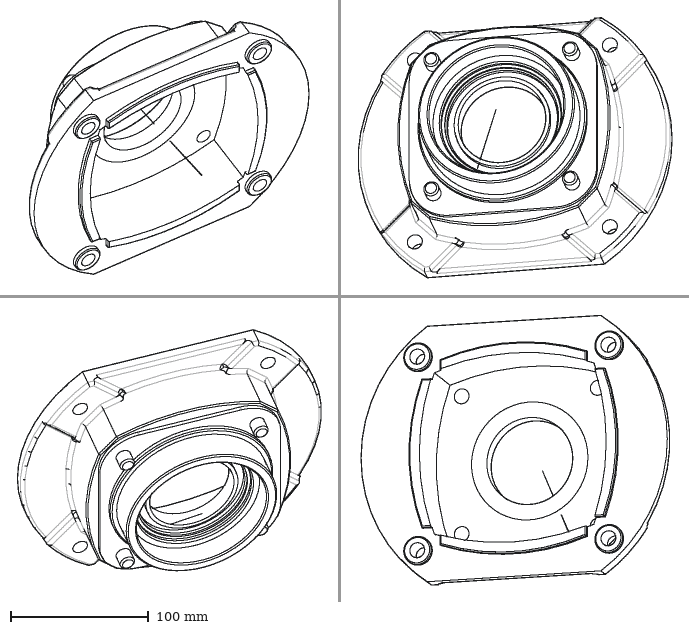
import cadquery as cq
import math

seal_face_x = 16.8
collar_x = 22.5
lip_x = 22.5
plate_x = 26.5
housing_x = 29.5
cavity_x = 34.5
pad_x = 62.5
web_x = 67.5
flange_back_x = 76.5
foot_end_x = 80.3

tube_radius = 57.7
tube_bore_radius = 49.8
tube_chamfer = 1.2
lip_radius = 35.3
bore_radius = 32.3
collar_radius = 62.3
collar_chamfer = 1.2
plate_width = 138.4
plate_corner_radius = 30.0
spigot_radius = 43.8

seal_mouth_radius = 45.2
seal_entry_radius = 44.3
seal_neck_radius = 42.0
seal_bore_radius = 40.8
seal_entry_x = 18.7
seal_shoulder_x = 20.8
seal_neck_x = 22.1
seal_bore_x = 23.3

stud_offset = 51.2
stud_radius = 5.5
stud_tip_x = 16.1
stud_chamfer = 1.4

bow_height = 78.5
corner_near = 55.1
corner_far = 68.7
housing_chamfer = 1.2
cavity_bow_height = 70.3
cavity_corner = 60.0

flange_radius = 115.3
flange_height = 190.0
strip_width = 49.0
skirt_fillet = 3.0
flange_fillet = (web_x - pad_x) / 2
flange_hole_offset = 72.0
flange_hole_radius = 5.5
boss_radius = 10.4
foot_width = 2 * corner_near
foot_chamfer = 1.0


def plane_at(x):
    """YZ plane at station x; local axes are Y and Z, the normal is +X."""
    return cq.Workplane("YZ", origin=(x, 0, 0))


def cylinder(radius, x_start, x_end):
    return plane_at(x_start).circle(radius).extrude(x_end - x_start)


def turn(profile):
    """Solid of revolution about the X axis from (x, radius) points."""
    return cq.Workplane("XY").polyline(profile).close().revolve(360, (0, 0, 0), (1, 0, 0))


def square_points(offset):
    return [(y, z) for y in (-offset, offset) for z in (-offset, offset)]


def bowed_outline(x, near, far, bow):
    """Square outline with bowed sides; flat corners appear where near differs from far."""
    outline = plane_at(x).moveTo(-near, far)
    for quarter in range(4):
        angle = -math.pi / 2 * quarter
        turned = [
            (y * math.cos(angle) - z * math.sin(angle), y * math.sin(angle) + z * math.cos(angle))
            for y, z in ((0, bow), (near, far), (far, near))
        ]
        outline = outline.threePointArc(turned[0], turned[1])
        if near != far and quarter < 3:
            outline = outline.lineTo(*turned[2])
    return outline.close()


def bowed_prism(x_start, x_end):
    return bowed_outline(x_start, corner_near, corner_far, bow_height).extrude(x_end - x_start)


def make_flange_disc(front_x):
    """Disc with flat top and bottom and a rounded front rim, up to the back of the flange."""
    thickness = flange_back_x - front_x
    disc = cylinder(flange_radius, front_x, flange_back_x)
    band = plane_at(front_x).rect(2 * flange_radius, flange_height).extrude(thickness)
    return disc.intersect(band).faces("<X").edges().fillet(flange_fillet)


def make_diagonal_strip(angle):
    """Raised strip across the flange whose sides run down to the web in two tangent arcs."""
    length = 3 * flange_radius
    half = strip_width / 2
    reach = flange_fillet * math.sqrt(0.5)
    top, middle = pad_x, pad_x + flange_fillet
    strip = (
        cq.Workplane("XY", origin=(0, 0, -length / 2))
        .moveTo(flange_back_x, -half - flange_fillet)
        .lineTo(web_x, -half - flange_fillet)
        .threePointArc((middle + reach, -half - flange_fillet + reach), (middle, -half))
        .threePointArc((middle - reach, -half + flange_fillet - reach), (top, -half + flange_fillet))
        .lineTo(top, half - flange_fillet)
        .threePointArc((middle - reach, half - flange_fillet + reach), (middle, half))
        .threePointArc((middle + reach, half + flange_fillet - reach), (web_x, half + flange_fillet))
        .lineTo(flange_back_x, half + flange_fillet)
        .close()
        .extrude(length)
    )
    return strip.rotate((0, 0, 0), (1, 0, 0), angle)


def make_diagonal_strips():
    return make_diagonal_strip(45).union(make_diagonal_strip(-45))


def make_flange(strips):
    return make_flange_disc(web_x).union(make_flange_disc(pad_x).intersect(strips))


def make_skirt(level_x):
    """Concave fillet around the housing wall where it meets a flange face at level_x."""
    wall = bowed_prism(housing_x, flange_back_x)
    footing = cylinder(flange_radius, level_x, flange_back_x)
    corner_edges = cq.selectors.BoxSelector(
        (level_x - skirt_fillet / 2, -bow_height - skirt_fillet, -bow_height - skirt_fillet),
        (level_x + skirt_fillet / 2, bow_height + skirt_fillet, bow_height + skirt_fillet),
        boundingbox=True,
    )
    joined = wall.union(footing).edges(corner_edges).fillet(skirt_fillet)
    reach = bowed_outline(level_x - skirt_fillet, corner_near, corner_far, bow_height)
    reach = reach.offset2D(skirt_fillet, "intersection").extrude(flange_back_x - level_x + skirt_fillet)
    return joined.intersect(reach)


def make_feet():
    """Bosses behind the flange holes and four bowed feet behind the housing walls."""
    height = foot_end_x - flange_back_x
    bosses = plane_at(flange_back_x).pushPoints(square_points(flange_hole_offset))
    bosses = bosses.circle(boss_radius).extrude(height).faces(">X").chamfer(foot_chamfer)
    span = 3 * flange_radius
    cross = plane_at(flange_back_x).rect(span, foot_width).extrude(height)
    cross = cross.union(plane_at(flange_back_x).rect(foot_width, span).extrude(height))
    walls = bowed_prism(flange_back_x, foot_end_x).intersect(cross)
    walls = walls.faces(">X").chamfer(foot_chamfer)
    return bosses.union(walls)


def stud_shafts(x_start, x_end):
    shafts = plane_at(x_start).pushPoints(square_points(stud_offset))
    return shafts.circle(stud_radius).extrude(x_end - x_start)


def make_housing():
    body = bowed_prism(housing_x, flange_back_x).faces("<X").chamfer(housing_chamfer)
    strips = make_diagonal_strips()
    body = body.union(make_flange(strips)).union(make_skirt(web_x))
    body = body.union(make_skirt(pad_x).intersect(strips.translate((-skirt_fillet, 0, 0))))
    body = body.union(make_feet())
    cavity = bowed_outline(cavity_x, cavity_corner, cavity_corner, cavity_bow_height)
    body = body.cut(cavity.extrude(foot_end_x - cavity_x))
    flange_holes = plane_at(pad_x).pushPoints(square_points(flange_hole_offset))
    body = body.cut(flange_holes.circle(flange_hole_radius).extrude(foot_end_x - pad_x))
    body = body.cut(cylinder(spigot_radius, housing_x, cavity_x))
    return body.cut(stud_shafts(housing_x, cavity_x))


def make_cover():
    """Turned tube, collar, spigot and inner lip carrying the square plate."""
    profile = [
        (tube_chamfer, tube_radius),
        (collar_x, tube_radius),
        (collar_x, collar_radius - collar_chamfer),
        (collar_x + collar_chamfer, collar_radius),
        (housing_x, collar_radius),
        (housing_x, spigot_radius),
        (cavity_x, spigot_radius),
        (cavity_x, bore_radius),
        (lip_x, bore_radius),
        (lip_x, lip_radius),
        (plate_x, lip_radius),
        (plate_x, tube_bore_radius),
        (tube_chamfer, tube_bore_radius),
        (0, tube_bore_radius + tube_chamfer),
        (0, tube_radius - tube_chamfer),
    ]
    plate = plane_at(plate_x).rect(plate_width, plate_width).extrude(housing_x - plate_x)
    plate = plate.edges("|X").fillet(plate_corner_radius)
    plate = plate.cut(cylinder(spigot_radius, plate_x, housing_x))
    return turn(profile).union(plate).cut(stud_shafts(plate_x, housing_x))


def make_seal_ring():
    return turn([
        (seal_face_x, tube_bore_radius),
        (plate_x, tube_bore_radius),
        (plate_x, seal_bore_radius),
        (seal_bore_x, seal_bore_radius),
        (seal_neck_x, seal_neck_radius),
        (seal_shoulder_x, seal_neck_radius),
        (seal_shoulder_x, seal_entry_radius),
        (seal_entry_x, seal_entry_radius),
        (seal_face_x, seal_mouth_radius),
    ])


def make_stud(y, z):
    stud = cylinder(stud_radius, stud_tip_x, cavity_x).faces("<X").chamfer(stud_chamfer)
    return stud.translate((0, y, z))


housing = make_housing()
cover = make_cover()
seal_ring = make_seal_ring()
studs = [make_stud(y, z) for y, z in square_points(stud_offset)]

result = cq.Compound.makeCompound(
    [housing.val(), cover.val(), seal_ring.val()] + [stud.val() for stud in studs]
)